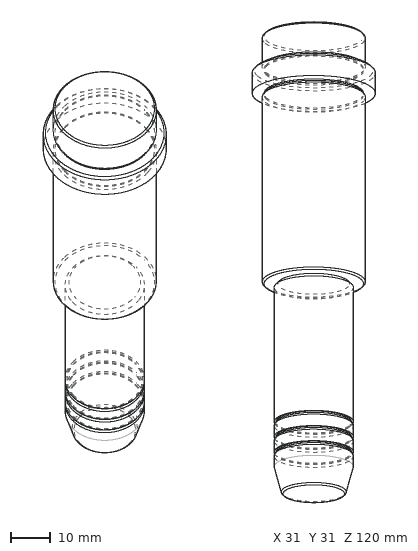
import cadquery as cq
import math

total_length = 120.0
flange_radius = 15.5
body_radius = 13.0
pin_radius = 10.0

flange_top = 111.0
flange_bottom = 105.0
body_bottom = 55.1

body_chamfer = 0.5
flange_chamfer = 0.6

relief_width = 1.0
relief_depth = 0.5
relief_neck = 0.4
pin_relief_depth = 1.0

groove_count = 3
groove_pitch = 4.0
lowest_groove_bottom = 10.0

taper_height = 7.1
taper_angle = 15.0
tip_chamfer = 0.5


def make_solid_of_revolution():
    """Revolve the stepped half profile about the Z axis."""
    taper_end_radius = pin_radius - (taper_height - tip_chamfer) * math.tan(math.radians(taper_angle))
    neck_radius = body_radius - relief_depth
    pin_neck_radius = pin_radius - pin_relief_depth
    profile = [
        (0, 0),
        (taper_end_radius - tip_chamfer, 0),
        (taper_end_radius, tip_chamfer),
        (pin_radius, taper_height),
        (pin_radius, body_bottom - relief_width),
        (pin_neck_radius, body_bottom),
        (body_radius - body_chamfer, body_bottom),
        (body_radius, body_bottom + body_chamfer),
        (body_radius, flange_bottom - relief_width),
        (neck_radius, flange_bottom - relief_neck),
        (neck_radius, flange_bottom),
        (flange_radius, flange_bottom),
        (flange_radius, flange_top - flange_chamfer),
        (flange_radius - flange_chamfer, flange_top),
        (neck_radius, flange_top),
        (neck_radius, flange_top + relief_neck),
        (body_radius, flange_top + relief_width),
        (body_radius, total_length - body_chamfer),
        (body_radius - body_chamfer, total_length),
        (0, total_length),
    ]
    return cq.Workplane("XZ").polyline(profile).close().revolve(360, (0, 0), (0, 1))


def make_groove(bottom):
    """Ring that cuts one groove: conical lower side, straight neck, square top."""
    floor_radius = pin_radius - relief_depth
    section = [
        (pin_radius, bottom),
        (floor_radius, bottom + relief_width - relief_neck),
        (floor_radius, bottom + relief_width),
        (flange_radius, bottom + relief_width),
        (flange_radius, bottom),
    ]
    return cq.Workplane("XZ").polyline(section).close().revolve(360, (0, 0), (0, 1))


result = make_solid_of_revolution()
for index in range(groove_count):
    result = result.cut(make_groove(lowest_groove_bottom + index * groove_pitch))